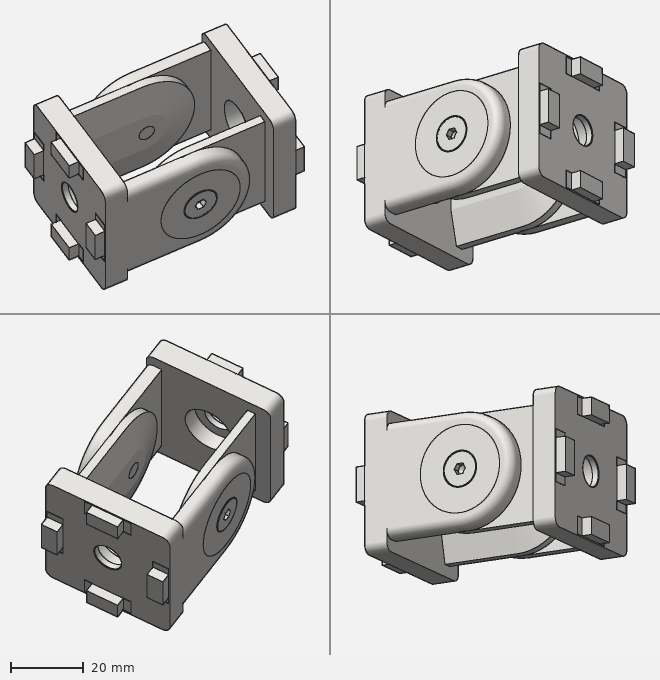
import cadquery as cq
import math


plate_size = 40.0
plate_thickness = 7.0
plate_outer_y = 30.05
plate_inner_y = plate_outer_y - plate_thickness
plate_corner_radius = 2.5
plate_half = plate_size / 2

hole_diameter = 8.6
hole_chamfer = 0.2
hole_chamfer_angle = 90
counterbore_diameter = 15.0
counterbore_depth = 5.0

tab_length = 10.0
tab_width = 5.1
tab_height = 2.95
recess_length = 15.0
recess_depth = 0.1
tab_edge_margin = 0.45
tab_center = plate_half - tab_edge_margin - tab_width / 2

arm_half_width = 16.5
outer_arm_thickness = 4.95
arm_edge_radius = 2.5
arm_outer_x = plate_half
arm_joint_x = arm_outer_x - outer_arm_thickness
arm_inner_x = 10.0
bevel_depth = 2.5
bevel_width = 10.0

disc_diameter = 25.0
head_diameter = 10.0
head_depth = 2.5
head_protrusion = 0.1
head_top_x = -arm_outer_x - head_protrusion
head_seat_x = -arm_outer_x + head_depth
seat_chamfer = 0.25
shank_diameter = 4.8
hex_across_flats = 3.0
hex_across_corners = 2 * hex_across_flats / math.sqrt(3)
hex_depth = 2.0
hex_cone_depth = 1.0


def x_cylinder(diameter, x_start, x_end):
    """Cylinder along X about the pivot axis."""
    return cq.Workplane("YZ", origin=(x_start, 0, 0)).circle(diameter / 2).extrude(x_end - x_start)


def round_ended_arm(half_section):
    """Arm along +Y with a round end, from a half section drawn as (X, distance from the X axis)."""
    straight = half_section.extrude(-plate_inner_y)
    straight = straight.union(straight.mirror("XY"))
    round_end = half_section.toPending().revolve(360, (0, 0, 0), (1, 0, 0))
    return straight.union(round_end)


def outer_arm():
    """Arm on the -X side, with a rounded outer edge and a bore for the pivot disc."""
    half_section = (
        cq.Workplane("XZ")
        .moveTo(-arm_joint_x, 0)
        .lineTo(-arm_joint_x, arm_half_width)
        .lineTo(-arm_outer_x + arm_edge_radius, arm_half_width)
        .radiusArc((-arm_outer_x, arm_half_width - arm_edge_radius), -arm_edge_radius)
        .lineTo(-arm_outer_x, 0)
        .close()
    )
    return round_ended_arm(half_section).cut(x_cylinder(disc_diameter, -arm_outer_x, -arm_joint_x))


def inner_arm():
    """Arm on the +X side, with a wide bevel on its inner face and a hole for the screw shank."""
    half_section = (
        cq.Workplane("XZ")
        .moveTo(arm_joint_x, 0)
        .lineTo(arm_joint_x, arm_half_width)
        .lineTo(arm_inner_x + bevel_depth, arm_half_width)
        .lineTo(arm_inner_x, arm_half_width - bevel_width)
        .lineTo(arm_inner_x, 0)
        .close()
    )
    return round_ended_arm(half_section).cut(x_cylinder(shank_diameter, arm_inner_x, arm_joint_x))


def tab_block(angle, length, y_start, y_end):
    """Block at one edge of the plate, turned about the plate's Y axis."""
    block = cq.Workplane("XY").box(length, y_end - y_start, tab_width)
    block = block.translate((0, (y_start + y_end) / 2, tab_center))
    return block.rotate((0, 0, 0), (0, 1, 0), angle)


def end_plate():
    """Square plate on the +Y side with its counterbored hole and four tabs."""
    plate = (
        cq.Workplane("XY")
        .box(plate_size, plate_thickness, plate_size)
        .edges("|Y")
        .fillet(plate_corner_radius)
        .translate((0, plate_outer_y - plate_thickness / 2, 0))
    )
    plate = (
        plate.faces(">Y")
        .workplane(centerOption="CenterOfBoundBox")
        .cskHole(hole_diameter, hole_diameter + 2 * hole_chamfer, hole_chamfer_angle)
        .faces("<Y")
        .workplane(centerOption="CenterOfBoundBox")
        .circle(counterbore_diameter / 2)
        .cutBlind(-counterbore_depth)
    )
    recess_floor_y = plate_outer_y - recess_depth
    for angle in (0, 90, 180, 270):
        plate = plate.cut(tab_block(angle, recess_length, recess_floor_y, plate_outer_y))
        plate = plate.union(tab_block(angle, tab_length, recess_floor_y, plate_outer_y + tab_height))
    return plate


def bracket():
    """Plate at +Y carrying an outer arm at -X and an inner arm at +X."""
    return end_plate().union(outer_arm()).union(inner_arm())


def screw():
    """Socket screw on the -X side, its shank ending flush with the inner arm's inner face."""
    head = x_cylinder(head_diameter, head_top_x, head_seat_x)
    body = head.union(x_cylinder(shank_diameter, head_seat_x, -arm_inner_x))
    socket_start = cq.Workplane("YZ", origin=(head_top_x, 0, 0))
    hexagon = socket_start.polygon(6, hex_across_corners).extrude(hex_depth)
    cone = cq.Solid.makeCone(
        hex_across_flats / 2, 0, hex_cone_depth,
        pnt=cq.Vector(head_top_x + hex_depth, 0, 0), dir=cq.Vector(1, 0, 0))
    return body.cut(hexagon).cut(cq.Workplane(cone))


def pivot_disc():
    """Disc on the -X side filling the outer arm's bore, stepped for the screw."""
    seat_rim = cq.Solid.makeCone(
        head_diameter / 2 + seat_chamfer, head_diameter / 2, seat_chamfer,
        pnt=cq.Vector(-arm_outer_x, 0, 0), dir=cq.Vector(1, 0, 0))
    return (
        x_cylinder(disc_diameter, -arm_outer_x, -arm_joint_x)
        .cut(x_cylinder(head_diameter, -arm_outer_x, head_seat_x))
        .cut(cq.Workplane(seat_rim))
        .cut(x_cylinder(shank_diameter, head_seat_x, -arm_joint_x))
    )


bodies = []
for turn in (0, 180):
    for body in (bracket(), pivot_disc(), screw()):
        bodies.append(body.rotate((0, 0, 0), (0, 0, 1), turn).val())

result = cq.Compound.makeCompound(bodies)